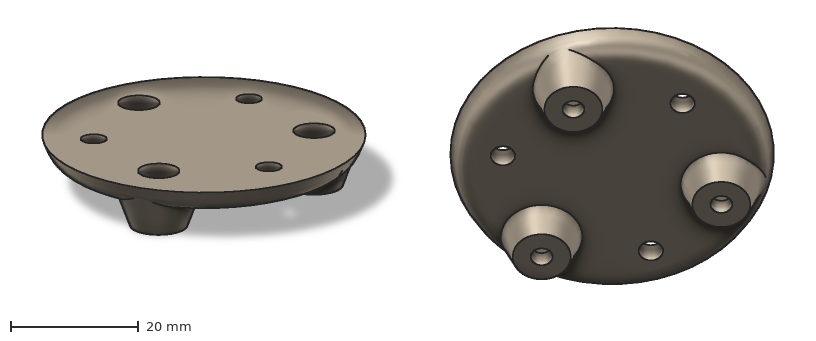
import cadquery as cq
import math

disc_diameter = 50.7
total_height = 9.0
foot_height = 5.0

band_height = 1.5
band_inset = 0.65
edge_radius = 3.85

pattern_radius = 17.35
first_foot_angle = 41.5
foot_count = 3
foot_spacing = 360 / foot_count

foot_tip_diameter = 9.05
foot_taper = 20.0

screw_diameter = 3.4
counterbore_diameter = 6.5
counterbore_floor = 3.05
tapered_hole_top_diameter = 4.05
tapered_hole_bottom_diameter = 3.8


def pattern_points(start_angle):
    """Three evenly spaced places on the pattern circle."""
    angles = [math.radians(start_angle + i * foot_spacing) for i in range(foot_count)]
    return [(pattern_radius * math.cos(a), pattern_radius * math.sin(a)) for a in angles]


def make_disc():
    """Disc whose sloped rim runs smoothly into the rounded lower edge."""
    top_radius = disc_diameter / 2
    band_bottom_radius = top_radius - band_inset
    band_bottom = total_height - band_height
    drop = edge_radius - (band_bottom - foot_height)
    arc_width = math.sqrt(edge_radius**2 - drop**2)
    arc_center_x = band_bottom_radius - arc_width
    arc_center_z = foot_height + edge_radius
    mid_angle = (math.asin(drop / edge_radius) + math.pi / 2) / 2
    arc_middle = (
        arc_center_x + edge_radius * math.cos(mid_angle),
        arc_center_z - edge_radius * math.sin(mid_angle),
    )
    return (
        cq.Workplane("XZ")
        .moveTo(0, foot_height)
        .lineTo(arc_center_x, foot_height)
        .threePointArc(arc_middle, (band_bottom_radius, band_bottom))
        .lineTo(top_radius, total_height)
        .lineTo(0, total_height)
        .close()
        .revolve(360, (0, 0, 0), (0, 1, 0))
    )


def make_feet(points):
    """Feet that widen upward until they end inside the disc at its rim band."""
    return (
        cq.Workplane("XY")
        .pushPoints(points)
        .circle(foot_tip_diameter / 2)
        .extrude(total_height - band_height, taper=-foot_taper)
    )


def make_cylinders(points, diameter, bottom):
    """Cutting cylinders that reach from the given level to the top face."""
    return (
        cq.Workplane("XY", origin=(0, 0, bottom))
        .pushPoints(points)
        .circle(diameter / 2)
        .extrude(total_height - bottom)
    )


def make_tapered_holes(points):
    """Cutting cones that narrow slightly from the top face to the underside."""
    depth = total_height - foot_height
    inset = (tapered_hole_top_diameter - tapered_hole_bottom_diameter) / 2
    return (
        cq.Workplane("XY", origin=(0, 0, total_height))
        .pushPoints(points)
        .circle(tapered_hole_top_diameter / 2)
        .extrude(-depth, taper=math.degrees(math.atan(inset / depth)))
    )


foot_points = pattern_points(first_foot_angle)
tapered_points = pattern_points(first_foot_angle + foot_spacing / 2)

result = make_disc().union(make_feet(foot_points))
result = result.cut(make_cylinders(foot_points, screw_diameter, 0))
result = result.cut(make_cylinders(foot_points, counterbore_diameter, counterbore_floor))
result = result.cut(make_tapered_holes(tapered_points))